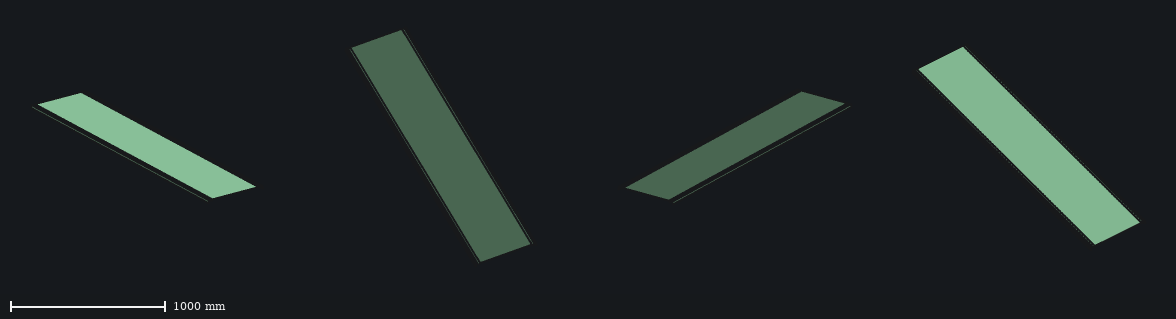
import cadquery as cq
import math

length = 2000.0
width = 435.0
height = 20.0
thickness = 1.0

lip_width = 2.0
wall_top_inset = 4.5

groove_inset = 25.0
groove_depth = 7.0
groove_bottom_diameter = 5.0
flank_angle = math.radians(45)

margin = 20.0

half_width = width / 2
top_z = height / 2
lip_top_z = -height / 2 + thickness
groove_y = half_width - groove_inset
groove_bottom_z = top_z - groove_depth

bottom_radius = groove_bottom_diameter / 2
tangent_y = bottom_radius * math.sin(flank_angle)
tangent_z = groove_bottom_z + bottom_radius * (1 - math.cos(flank_angle))
groove_half_width = tangent_y + (top_z - tangent_z) / math.tan(flank_angle)


def add_groove(outline, center_y):
    """Continue the outline in +Y through one groove."""
    return (
        outline.lineTo(center_y - groove_half_width, top_z)
        .lineTo(center_y - tangent_y, tangent_z)
        .threePointArc((center_y, groove_bottom_z), (center_y + tangent_y, tangent_z))
        .lineTo(center_y + groove_half_width, top_z)
    )


def forming_block(inward_offset):
    """Solid below the upper surface, optionally shrunk by an inward offset."""
    outer_y = half_width + margin
    block_bottom_z = lip_top_z - margin
    outline = (
        cq.Workplane("YZ")
        .moveTo(-outer_y, block_bottom_z)
        .lineTo(-outer_y, lip_top_z)
        .lineTo(-half_width + lip_width, lip_top_z)
        .lineTo(-half_width + wall_top_inset, top_z)
    )
    outline = add_groove(outline, -groove_y)
    outline = add_groove(outline, groove_y)
    outline = (
        outline.lineTo(half_width - wall_top_inset, top_z)
        .lineTo(half_width - lip_width, lip_top_z)
        .lineTo(outer_y, lip_top_z)
        .lineTo(outer_y, block_bottom_z)
        .close()
    )
    if inward_offset:
        outline = outline.offset2D(-inward_offset, "intersection")
    return outline.extrude(length / 2, both=True)


skin = forming_block(0).cut(forming_block(thickness))
result = skin.intersect(cq.Workplane("XY").box(length, width, height))